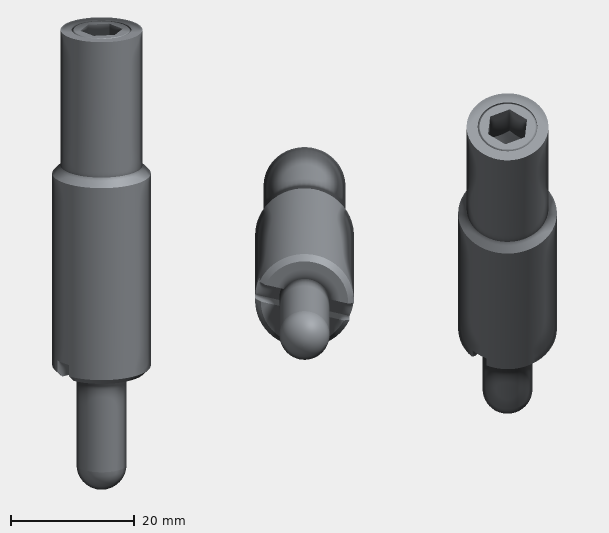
import cadquery as cq
import math

total_height = 78.0
housing_bottom = 20.05

housing_radius = 7.995
neck_radius = 6.6
neck_length = 23.0
bottom_chamfer = 0.9
shoulder_top = total_height - neck_length
shoulder_bottom = shoulder_top - (housing_radius - neck_radius)

slot_width = 3.0
slot_depth = 2.9

pin_radius = 4.05
head_radius = 4.8
head_chamfer = 0.3
head_bottom = shoulder_bottom

socket_flats = 6.0
socket_depth = 6.0
socket_cone_angle = 120.0
socket_corners = socket_flats / math.cos(math.radians(30))
socket_cone_depth = socket_corners / 2 / math.tan(math.radians(socket_cone_angle / 2))


def revolve_about_z(profile):
    """Turn a radius-height profile fully around the Z axis."""
    return profile.close().revolve(360, (0, 0, 0), (0, 1, 0))


def make_housing():
    """Stepped sleeve with a shoulder, a stepped bore and a driver slot."""
    sleeve = revolve_about_z(
        cq.Workplane("XZ")
        .moveTo(pin_radius, housing_bottom)
        .lineTo(housing_radius - bottom_chamfer, housing_bottom)
        .lineTo(housing_radius, housing_bottom + bottom_chamfer)
        .lineTo(housing_radius, shoulder_bottom)
        .lineTo(neck_radius, shoulder_top)
        .lineTo(neck_radius, total_height)
        .lineTo(head_radius, total_height)
        .lineTo(head_radius, head_bottom)
        .lineTo(pin_radius, head_bottom)
    )
    slot = (
        cq.Workplane("XY")
        .workplane(offset=housing_bottom)
        .rect(slot_width, 2 * housing_radius)
        .extrude(slot_depth)
    )
    return sleeve.cut(slot)


def make_socket():
    """Hexagonal prism, corners along X, ending in a cone cut to the hexagon."""
    hexagon = (
        cq.Workplane("XY")
        .workplane(offset=total_height)
        .polygon(6, socket_corners)
        .extrude(-(socket_depth + socket_cone_depth))
    )
    cone_top = total_height - socket_depth
    drill = revolve_about_z(
        cq.Workplane("XZ")
        .moveTo(0, cone_top - socket_cone_depth)
        .lineTo(socket_corners / 2, cone_top)
        .lineTo(socket_corners / 2, total_height)
        .lineTo(0, total_height)
    )
    return hexagon.intersect(drill)


def make_plunger():
    """Round-ended pin with a wider, chamfered head and a hexagon socket."""
    arc_offset = pin_radius * math.sqrt(0.5)
    shaft = revolve_about_z(
        cq.Workplane("XZ")
        .moveTo(0, 0)
        .threePointArc((arc_offset, pin_radius - arc_offset), (pin_radius, pin_radius))
        .lineTo(pin_radius, head_bottom)
        .lineTo(head_radius, head_bottom)
        .lineTo(head_radius, total_height - head_chamfer)
        .lineTo(head_radius - head_chamfer, total_height)
        .lineTo(0, total_height)
    )
    return shaft.cut(make_socket())


housing = make_housing()
plunger = make_plunger()

result = cq.Compound.makeCompound([housing.val(), plunger.val()])